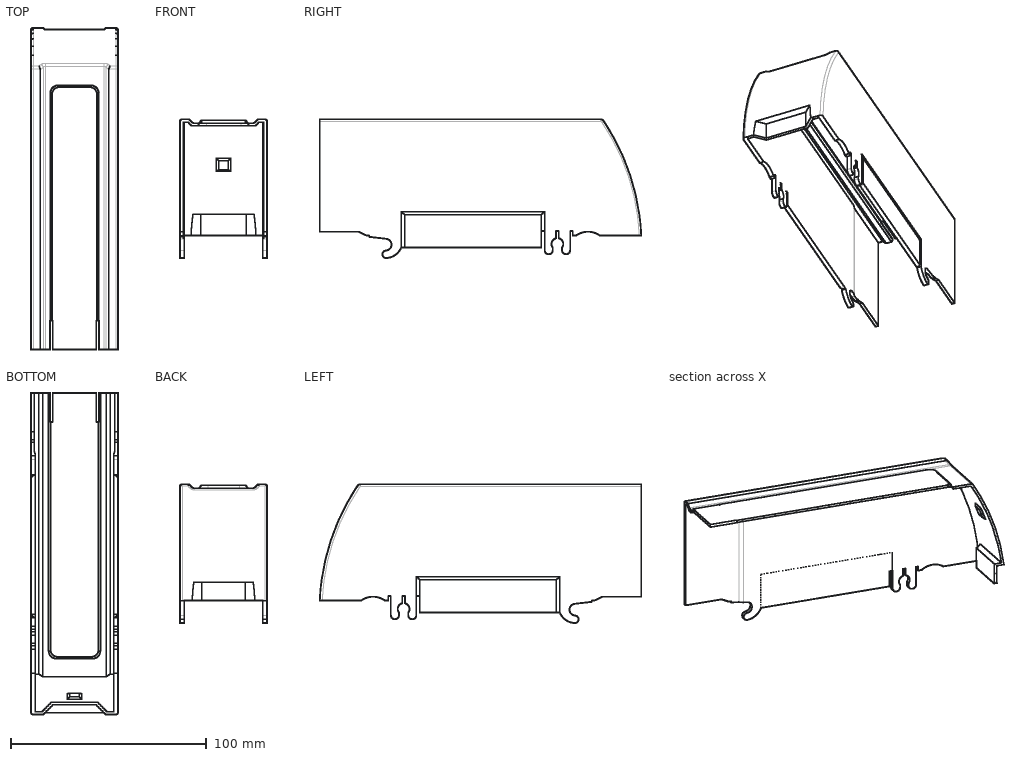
import cadquery as cq
import math

LENGTH = 164.4
WIDTH = 44.5
HEIGHT = 71.0
HALF_WIDTH = WIDTH / 2

ROOF_THICKNESS = 1.5
BACK_THICKNESS = 1.5
SIDE_THICKNESS = 2.3
FRONT_SIDE_THICKNESS = 1.6
STEP_START = 29.6
STEP_END = 31.7
EDGE_RADIUS = 1.2
BACK_TOP_RADIUS = 1.8

BACK_RADIUS = 113.9
BACK_CENTER_Z = 6.5
BACK_BOTTOM = 11.5
BACK_CENTER_Y = LENGTH - math.sqrt(BACK_RADIUS**2 - (BACK_BOTTOM - BACK_CENTER_Z) ** 2)

MITRE_SHIFT = math.tan(math.radians(22.5))

CHANNEL_DEPTH = 2.0
CHANNEL_HALF_WIDTH = 15.6
CHANNEL_ROOT_RADIUS = 1.3
ROOF_TOP = HEIGHT - CHANNEL_DEPTH
ROOF_BOTTOM = ROOF_TOP - ROOF_THICKNESS

PAD_HEIGHT = 1.5
PAD_END = 135.1
PAD_HALF_WIDTH = 12.5
PAD_FLANK = 1.2
PAD_CORNER_RADIUS = 4.5
PAD_WALL_OFFSET = 0.8
TONGUE_LENGTH = 14.8
TONGUE_HALF_WIDTH = 11.2
SLOT_WIDTH = PAD_HALF_WIDTH - TONGUE_HALF_WIDTH

FRONT_BOTTOM = 13.5
RAMP_START = 19.9
RAMP_END = (25.3, 10.8)
ARCH_CENTER = 137.1
ARCH_HALF_WIDTH = 6.0

HOOK_THROAT = (33.7, 6.9)
HOOK_THROAT_RADIUS = 3.0
HOOK_TIP_Y = 34.0
HOOK_TIP_RADIUS = 2.0
HOOK_OUTER_MIDDLE = (39.0, 1.8)

PANEL_FRONT = 41.8
PANEL_BACK = 114.9
PANEL_BOTTOM = 5.5
PANEL_TOP = 23.8
PANEL_BEVEL = 1.6

CLIP_CENTER = 121.5
CLIP_HALF_WIDTH = CLIP_CENTER - PANEL_BACK
CLIP_TIP_RADIUS = 2.1
CLIP_BOTTOM = 2.0
CLIP_EYE_RADIUS = 3.0
CLIP_EYE_Z = 7.2
CLIP_SLOT_WIDTH = 1.3
NOTCH_WIDTH = 1.2
NOTCH_TOP = 13.8

GRIP_FACE_Y = 158.0
GRIP_TOP = 22.5
GRIP_HALF_WIDTH = 11.7

BOSS_Z = 47.8
BOSS_SIDE = 7.4
BOSS_FACE_SIDE = 5.1
BOSS_HEIGHT = 0.8


def back_y(z, inset=0.0):
    """Y of the back wall at height z, moved inward by inset."""
    return BACK_CENTER_Y + math.sqrt((BACK_RADIUS - inset) ** 2 - (z - BACK_CENTER_Z) ** 2)


def box(x0, x1, y0, y1, z0, z1):
    return cq.Workplane("XY").box(x1 - x0, y1 - y0, z1 - z0, centered=False).translate((x0, y0, z0))


def across(profile):
    """Extrude a YZ profile over the full width, about the middle plane."""
    return profile.extrude(HALF_WIDTH, both=True)


def full_width_box(y0, y1, z0, z1):
    return box(-HALF_WIDTH, HALF_WIDTH, y0, y1, z0, z1)


def rod(y, z, radius):
    return across(cq.Workplane("YZ").center(y, z).circle(radius))


def back_profile(top, bottom, inset=0.0):
    """Region ahead of the back wall, open-end face at Y = 0."""
    middle = (top + bottom) / 2
    return (
        cq.Workplane("YZ")
        .moveTo(0, bottom)
        .lineTo(back_y(bottom, inset), bottom)
        .threePointArc((back_y(middle, inset), middle), (back_y(top, inset), top))
        .lineTo(0, top)
        .close()
    )


def outer_body():
    """Solid hood: channelled roof, curved back, rounded outer edges."""
    rail_inner = CHANNEL_HALF_WIDTH + CHANNEL_DEPTH
    section = (
        cq.Workplane("XZ")
        .polyline([
            (-HALF_WIDTH, 0), (-HALF_WIDTH, HEIGHT), (-rail_inner, HEIGHT),
            (-CHANNEL_HALF_WIDTH, ROOF_TOP), (CHANNEL_HALF_WIDTH, ROOF_TOP),
            (rail_inner, HEIGHT), (HALF_WIDTH, HEIGHT), (HALF_WIDTH, 0),
        ])
        .close()
        .extrude(-LENGTH)
    )
    for side in (-1, 1):
        root = cq.selectors.NearestToPointSelector((side * CHANNEL_HALF_WIDTH, LENGTH / 2, ROOF_TOP))
        section = section.edges(root).fillet(CHANNEL_ROOT_RADIUS)
    body = section.intersect(across(back_profile(HEIGHT, BACK_BOTTOM)))

    back_point = (0, back_y(HEIGHT / 2), HEIGHT / 2)
    back_edges = body.faces(cq.selectors.NearestToPointSelector(back_point)).edges()
    around_roof = cq.selectors.BoxSelector(
        (-HALF_WIDTH, 0, ROOF_TOP - EDGE_RADIUS), (HALF_WIDTH, LENGTH, HEIGHT + EDGE_RADIUS)
    )
    body = back_edges.edges(around_roof).fillet(BACK_TOP_RADIUS)
    for side in (-1, 1):
        side_face = cq.selectors.NearestToPointSelector((side * HALF_WIDTH, LENGTH / 2, HEIGHT / 2))
        rim = body.faces(side_face).edges("not(<Z or <Y)")
        body = rim.fillet(EDGE_RADIUS)
    return body


def cavity():
    """Inside of the hood, open at the front and below."""
    deep_half = HALF_WIDTH - SIDE_THICKNESS
    front_half = HALF_WIDTH - FRONT_SIDE_THICKNESS
    plan = (
        cq.Workplane("XY")
        .polyline([
            (-front_half, 0), (-front_half, STEP_START), (-deep_half, STEP_END), (-deep_half, LENGTH),
            (deep_half, LENGTH), (deep_half, STEP_END), (front_half, STEP_START), (front_half, 0),
        ])
        .close()
        .extrude(HEIGHT)
    )
    rail_bottom = HEIGHT - ROOF_THICKNESS
    inner_root = CHANNEL_HALF_WIDTH + ROOF_THICKNESS * MITRE_SHIFT
    inner_rail = inner_root + CHANNEL_DEPTH
    section = (
        cq.Workplane("XZ")
        .polyline([
            (-HALF_WIDTH, 0), (-HALF_WIDTH, rail_bottom), (-inner_rail, rail_bottom),
            (-inner_root, ROOF_BOTTOM), (inner_root, ROOF_BOTTOM),
            (inner_rail, rail_bottom), (HALF_WIDTH, rail_bottom), (HALF_WIDTH, 0),
        ])
        .close()
        .extrude(-LENGTH)
    )
    side = across(back_profile(HEIGHT, 0, BACK_THICKNESS))
    return plan.intersect(section).intersect(side)


def pad_block(bottom, half_width, end):
    """Tapered plate with rounded far corners, narrowing by the flank width."""
    flank_angle = math.degrees(math.atan(PAD_FLANK / PAD_HEIGHT))
    outline = cq.Sketch().rect(2 * half_width, 2 * end).vertices().fillet(PAD_CORNER_RADIUS)
    plate = (
        cq.Workplane("XY", origin=(0, 0, bottom))
        .placeSketch(outline)
        .extrude(PAD_HEIGHT, taper=flank_angle)
    )
    return plate.intersect(box(-half_width, half_width, 0, end, bottom, bottom + PAD_HEIGHT))


def add_pad(body):
    """Pad pressed up out of the roof, and the two slots beside its tongue."""
    body = body.union(pad_block(ROOF_TOP, PAD_HALF_WIDTH, PAD_END))
    hollow = pad_block(ROOF_BOTTOM, PAD_HALF_WIDTH + PAD_WALL_OFFSET, PAD_END + PAD_WALL_OFFSET)
    body = body.cut(hollow)
    for side in (-1, 1):
        center = side * (TONGUE_HALF_WIDTH + SLOT_WIDTH / 2)
        slot = box(-SLOT_WIDTH / 2, SLOT_WIDTH / 2, 0, TONGUE_LENGTH, ROOF_BOTTOM, HEIGHT)
        body = body.cut(slot.translate((center, 0, 0)))
    return body


def grip_block(top, half_width, face_y):
    """Prism with 45 degree flanks that widens toward the back wall."""
    depth = LENGTH - face_y
    return (
        cq.Workplane("XY", origin=(0, 0, BACK_BOTTOM))
        .polyline([
            (-half_width, face_y), (half_width, face_y),
            (half_width + depth, LENGTH), (-half_width - depth, LENGTH),
        ])
        .close()
        .extrude(top - BACK_BOTTOM)
    )


def add_grip(body):
    """Thin-walled grip dished inward at the foot of the back wall."""
    wall = BACK_THICKNESS
    outer_half_width = GRIP_HALF_WIDTH - wall * MITRE_SHIFT
    inside = grip_block(GRIP_TOP, GRIP_HALF_WIDTH, GRIP_FACE_Y)
    hood = across(back_profile(HEIGHT, BACK_BOTTOM))
    body = body.union(inside.intersect(hood))
    return body.cut(grip_block(GRIP_TOP - wall, outer_half_width, GRIP_FACE_Y + wall))


def add_boss(body):
    """Low square boss with sloping flanks, standing square to the inside of the back wall."""
    inner_radius = BACK_RADIUS - BACK_THICKNESS
    tilt = math.asin((BOSS_Z - BACK_CENTER_Z) / inner_radius)
    inward = cq.Vector(0, -math.cos(tilt), -math.sin(tilt))
    wall_point = cq.Vector(0, back_y(BOSS_Z, BACK_THICKNESS), BOSS_Z)
    root_depth = BACK_THICKNESS / 2
    root_plane = cq.Plane(origin=wall_point - inward * root_depth, xDir=(1, 0, 0), normal=inward)
    wall_plane = cq.Plane(origin=wall_point, xDir=(1, 0, 0), normal=inward)
    flank_angle = math.degrees(math.atan((BOSS_SIDE - BOSS_FACE_SIDE) / 2 / BOSS_HEIGHT))
    root = cq.Workplane(root_plane).rect(BOSS_SIDE, BOSS_SIDE).extrude(root_depth)
    boss = cq.Workplane(wall_plane).rect(BOSS_SIDE, BOSS_SIDE).extrude(BOSS_HEIGHT, taper=flank_angle)
    return body.union(root).union(boss)


def hook():
    """Open hook hanging below the side wall, as a full-width prism."""
    throat_y, throat_z = HOOK_THROAT
    return across(
        cq.Workplane("YZ")
        .moveTo(*RAMP_END)
        .lineTo(throat_y, throat_z + HOOK_THROAT_RADIUS)
        .threePointArc((throat_y + HOOK_THROAT_RADIUS, throat_z), (HOOK_TIP_Y, 2 * HOOK_TIP_RADIUS))
        .threePointArc((HOOK_TIP_Y - HOOK_TIP_RADIUS, HOOK_TIP_RADIUS), (HOOK_TIP_Y, 0))
        .threePointArc(HOOK_OUTER_MIDDLE, (PANEL_FRONT, PANEL_BOTTOM))
        .lineTo(PANEL_FRONT, FRONT_BOTTOM)
        .lineTo(RAMP_END[0], FRONT_BOTTOM)
        .close()
    )


def clip():
    """Two rounded legs around an eye, as a full-width prism."""
    tip_z = CLIP_BOTTOM + CLIP_TIP_RADIUS
    tip_offset = CLIP_HALF_WIDTH - CLIP_TIP_RADIUS
    legs = full_width_box(
        CLIP_CENTER - CLIP_HALF_WIDTH, CLIP_CENTER + CLIP_HALF_WIDTH, tip_z, NOTCH_TOP
    )
    mouth = tip_offset - CLIP_TIP_RADIUS
    legs = legs.cut(full_width_box(CLIP_CENTER - mouth, CLIP_CENTER + mouth, 0, CLIP_EYE_Z))
    for side in (-1, 1):
        legs = legs.union(rod(CLIP_CENTER + side * tip_offset, tip_z, CLIP_TIP_RADIUS))
    return legs.cut(rod(CLIP_CENTER, CLIP_EYE_Z, CLIP_EYE_RADIUS))


def lower_edge_cut():
    """Material removed from the straight lower edge of the walls."""
    ramp = across(
        cq.Workplane("YZ")
        .polyline([(0, 0), (0, FRONT_BOTTOM), (RAMP_START, FRONT_BOTTOM), RAMP_END, (RAMP_END[0], 0)])
        .close()
    )
    arch = across(
        cq.Workplane("YZ")
        .moveTo(ARCH_CENTER - ARCH_HALF_WIDTH, BACK_BOTTOM)
        .threePointArc((ARCH_CENTER, FRONT_BOTTOM), (ARCH_CENTER + ARCH_HALF_WIDTH, BACK_BOTTOM))
        .close()
    )
    clip_back = CLIP_CENTER + CLIP_HALF_WIDTH
    slot_start = CLIP_CENTER - CLIP_SLOT_WIDTH / 2
    notch = full_width_box(clip_back, clip_back + NOTCH_WIDTH, 0, NOTCH_TOP)
    clip_slot = full_width_box(slot_start, slot_start + CLIP_SLOT_WIDTH, CLIP_EYE_Z, NOTCH_TOP)
    panel_gap = full_width_box(PANEL_BACK - PANEL_BEVEL, PANEL_BACK, 0, NOTCH_TOP)
    eye = rod(CLIP_CENTER, CLIP_EYE_Z, CLIP_EYE_RADIUS)
    return ramp.union(arch).union(notch).union(clip_slot).union(panel_gap).union(eye)


def panel_groove():
    """V groove that outlines the panel on the outer face of the +X wall."""
    floor_x = HALF_WIDTH - PANEL_BEVEL
    panel_length = PANEL_BACK - PANEL_FRONT
    recess = box(floor_x, HALF_WIDTH, PANEL_FRONT, PANEL_BACK, PANEL_BOTTOM, PANEL_TOP)
    panel = (
        cq.Workplane("YZ", origin=(floor_x, (PANEL_FRONT + PANEL_BACK) / 2, 0))
        .rect(panel_length, 2 * PANEL_TOP)
        .extrude(PANEL_BEVEL, taper=45)
    )
    return recess.cut(panel)


hood = outer_body()
skirt_panel = full_width_box(PANEL_FRONT, PANEL_BACK, PANEL_BOTTOM, FRONT_BOTTOM)
result = hood.union(hook()).union(skirt_panel).union(clip())
result = result.cut(cavity()).cut(lower_edge_cut())
groove = panel_groove()
result = result.cut(groove).cut(groove.mirror("YZ"))
result = add_boss(add_grip(add_pad(result)))